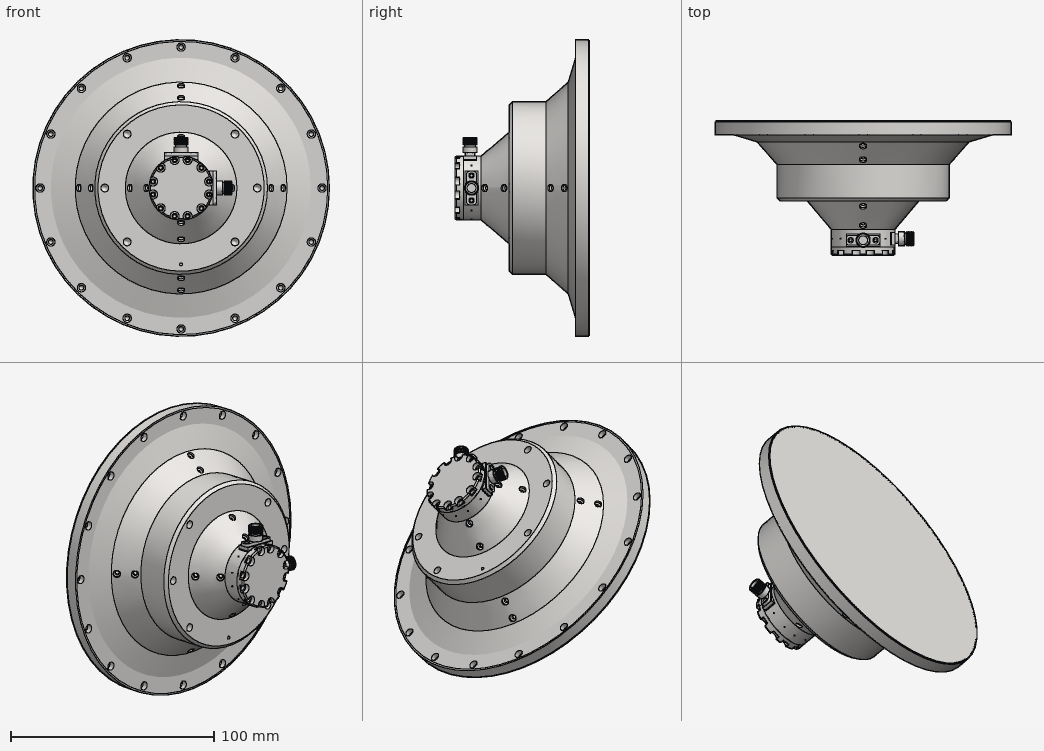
import cadquery as cq
import math


outer_radius = 73.0
rim_inner_radius = 72.1
cover_radius = 72.5
cover_thickness = 0.6
rim_depth = 7.0
shallow_cone_radius = 63.9
steep_cone_radius = 52.1
steep_cone_depth = 10.5
drum_radius = 42.5
drum_start_depth = 21.5
drum_face_depth = 39.5
drum_chamfer = 1.6
neck_cone_radius = 27.5
neck_radius = 15.8
neck_start_depth = 53.4
neck_end_depth = 62.0
total_depth = 66.2

drill_point_half_angle = math.radians(45)

flange_hole_count = 16
flange_hole_circle = 69.3
flange_hole_radius = 1.2
flange_counterbore_radius = 2.0
flange_hole_depth = 5.0
flange_counterbore_depth = 2.9

cone_hole_depths = (12.5, 19.3)
neck_cone_hole_depths = (42.2, 51.7)
cone_hole_radius = 1.0
cone_hole_length = 3.5
cone_counterbore_radius = 1.8
cone_counterbore_length = 1.2

drum_hole_angles = (-45, 0, 45, 135, 180, 225)
drum_small_hole_angle = 270
drum_hole_circle = 37.5
drum_hole_radius = 1.9
drum_small_hole_radius = 0.7
drum_hole_length = 7.3

cap_chamfer = 0.7
cap_hole_angles = [quarter + angle for quarter in (0, 90, 180, 270) for angle in (13, 45, 77)]
cap_hole_circle = 14.2
cap_hole_radius = 1.3
cap_counterbore_radius = 2.2
cap_counterbore_depth = 2.3
tapped_hole_radius = 0.9
tapped_hole_length = 4.4

pinhole_radius = 0.22
pinhole_length = 0.6
pinhole_depth = 58.0
pinhole_angles = [angle for angle in cap_hole_angles if angle == 45 or 90 < angle < 360 - 13]

adapter_length = 16.5
adapter_width = 6.3
adapter_bottom = 14.0
adapter_top = neck_radius
connector_places = ((0, 58.8), (90, 58.0))
plate_width = 4.8
plate_thickness = 1.6
plate_corner_radius = 1.5
plate_hole_spacing = 12.3
plate_hole_radius = 1.3
adapter_hole_radius = 0.7
collar_radius = 3.5
collar_length = 2.9
stem_radius = 2.8
stem_length = 0.9
thread_radius = 3.5
thread_groove = 0.5
thread_count = 5
thread_pitch = 0.76
socket_radius = 2.2
socket_length = 4.8
socket_recess = 1.6


def turned(profile):
    """Solid of revolution about Y from (radius, depth) points."""
    points = [(radius, -depth) for radius, depth in profile]
    return cq.Workplane("XY").polyline(points).close().revolve(360, (0, 0, 0), (0, 1, 0))


def rod(start, direction, radius, length):
    return cq.Workplane(obj=cq.Solid.makeCylinder(radius, length, cq.Vector(*start), cq.Vector(*direction)))


def drill(start, direction, radius, length):
    """Round hole with a conical drill point beyond its length."""
    inward = cq.Vector(*direction).normalized()
    tip_length = radius / math.tan(drill_point_half_angle)
    shaft = rod(start, direction, radius, length)
    tip_base = cq.Vector(*start) + inward * length
    return shaft.union(cq.Workplane(obj=cq.Solid.makeCone(radius, 0, tip_length, tip_base, inward)))


def polar(radius, angle, depth):
    """Point at an angle from +X toward +Z."""
    turn = math.radians(angle)
    return (radius * math.cos(turn), -depth, radius * math.sin(turn))


def holes_into_face(body, angles, circle, face_depth, radius, length):
    """Drilled holes that run toward +Y from a flat front face."""
    for angle in angles:
        body = body.cut(drill(polar(circle, angle, face_depth), (0, 1, 0), radius, length))
    return body


def cone_holes(body, depths, start, end):
    """Counterbored holes square to the cone between two (radius, depth) points."""
    (start_radius, start_depth), (end_radius, end_depth) = start, end
    fall = (start_radius - end_radius) / (end_depth - start_depth)
    lean = math.atan(fall)
    for angle in (0, 90, 180, 270):
        outward = cq.Vector(*polar(math.cos(lean), angle, math.sin(lean)))
        for depth in depths:
            surface = cq.Vector(*polar(start_radius - fall * (depth - start_depth), angle, depth))
            for radius, length in (
                (cone_hole_radius, cone_hole_length),
                (cone_counterbore_radius, cone_counterbore_length),
            ):
                entry = surface + outward * length
                body = body.cut(drill(entry.toTuple(), (-outward).toTuple(), radius, 2 * length))
    return body


def place_connector_part(body, turn, depth):
    """Move a part built along Z at Y = 0 onto the neck, turned from +Z toward +X."""
    return body.translate((0, -depth, 0)).rotate((0, 0, 0), (0, 1, 0), turn)


def block(width, bottom, top):
    return cq.Workplane("XY").workplane(offset=bottom).rect(adapter_length, width).extrude(top - bottom)


def plate_holes(bottom, radius, height):
    points = [(-plate_hole_spacing / 2, 0), (plate_hole_spacing / 2, 0)]
    return cq.Workplane("XY").workplane(offset=bottom).pushPoints(points).circle(radius).extrude(height)


def make_cover():
    return turned([(0, 0), (cover_radius, 0), (cover_radius, cover_thickness), (0, cover_thickness)])


def make_rim():
    return turned([
        (rim_inner_radius, cover_thickness),
        (outer_radius, cover_thickness),
        (outer_radius, rim_depth),
        (rim_inner_radius, rim_depth),
    ])


def make_housing():
    body = turned([
        (0, cover_thickness),
        (rim_inner_radius, cover_thickness),
        (rim_inner_radius, rim_depth),
        (shallow_cone_radius, rim_depth),
        (steep_cone_radius, steep_cone_depth),
        (drum_radius, drum_start_depth),
        (drum_radius, drum_face_depth - drum_chamfer),
        (drum_radius - drum_chamfer, drum_face_depth),
        (neck_cone_radius, drum_face_depth),
        (neck_radius, neck_start_depth),
        (neck_radius, neck_end_depth),
        (0, neck_end_depth),
    ])

    for turn, depth in connector_places:
        seat = block(adapter_width, 0, adapter_bottom)
        recess = block(adapter_width, adapter_bottom, adapter_top)
        body = body.union(place_connector_part(seat, turn, depth))
        body = body.cut(place_connector_part(recess, turn, depth))

    flange_angles = [360 / flange_hole_count * i for i in range(flange_hole_count)]
    for radius, length in (
        (flange_hole_radius, flange_hole_depth),
        (flange_counterbore_radius, flange_counterbore_depth),
    ):
        body = holes_into_face(body, flange_angles, flange_hole_circle, rim_depth, radius, length)

    steep_cone = ((steep_cone_radius, steep_cone_depth), (drum_radius, drum_start_depth))
    neck_cone = ((neck_cone_radius, drum_face_depth), (neck_radius, neck_start_depth))
    body = cone_holes(body, cone_hole_depths, *steep_cone)
    body = cone_holes(body, neck_cone_hole_depths, *neck_cone)

    body = holes_into_face(
        body, drum_hole_angles, drum_hole_circle, drum_face_depth, drum_hole_radius, drum_hole_length)
    body = holes_into_face(
        body, [drum_small_hole_angle], drum_hole_circle, drum_face_depth,
        drum_small_hole_radius, drum_hole_length)
    body = holes_into_face(
        body, cap_hole_angles, cap_hole_circle, neck_end_depth, tapped_hole_radius, tapped_hole_length)
    for angle in pinhole_angles:
        start = polar(neck_radius - pinhole_length, angle, pinhole_depth)
        body = body.cut(rod(start, polar(1, angle, 0), pinhole_radius, 2 * pinhole_length))
    return body


def make_cap():
    body = turned([
        (0, neck_end_depth),
        (neck_radius, neck_end_depth),
        (neck_radius, total_depth - cap_chamfer),
        (neck_radius - cap_chamfer, total_depth),
        (0, total_depth),
    ])
    cap_thickness = total_depth - neck_end_depth
    for radius, length in (
        (cap_hole_radius, cap_thickness),
        (cap_counterbore_radius, cap_counterbore_depth),
    ):
        for angle in cap_hole_angles:
            body = body.cut(rod(polar(cap_hole_circle, angle, total_depth), (0, 1, 0), radius, length))

    for angle in cap_hole_angles:
        start = polar(cap_hole_circle + cap_counterbore_radius, angle, total_depth)
        body = body.cut(rod(start, (0, 1, 0), cap_counterbore_radius, cap_counterbore_depth))
    return body


def make_adapter():
    holes = plate_holes(adapter_bottom, adapter_hole_radius, adapter_top - adapter_bottom)
    return block(adapter_width, adapter_bottom, adapter_top).cut(holes)


collar_bottom = adapter_top + plate_thickness
stem_bottom = collar_bottom + collar_length
thread_bottom = stem_bottom + stem_length
connector_end = thread_bottom + thread_count * thread_pitch
socket_bottom = connector_end - socket_length


def make_connector():
    plate = block(plate_width, adapter_top, collar_bottom).edges("|Z").fillet(plate_corner_radius)
    plate = plate.cut(plate_holes(adapter_top, plate_hole_radius, plate_thickness))

    root_radius = thread_radius - thread_groove
    profile = [
        (0, collar_bottom),
        (collar_radius, collar_bottom),
        (collar_radius, stem_bottom),
        (stem_radius, stem_bottom),
        (stem_radius, thread_bottom),
        (root_radius, thread_bottom),
    ]
    for i in range(thread_count):
        root = thread_bottom + i * thread_pitch
        profile += [(thread_radius, root + thread_pitch / 2), (root_radius, root + thread_pitch)]
    profile.append((0, connector_end))
    barrel = cq.Workplane("XZ").polyline(profile).close().revolve(360, (0, 0, 0), (0, 1, 0))
    socket = rod((0, 0, socket_bottom), (0, 0, 1), socket_radius, socket_length)
    return plate.union(barrel).cut(socket)


def make_insert():
    """Plug at the bottom of the connector socket."""
    return rod((0, 0, socket_bottom), (0, 0, 1), socket_radius, socket_length - socket_recess)


cover = make_cover()
rim = make_rim()
housing = make_housing()
cap = make_cap()
bodies = [part.solids().val() for part in (cover, rim, housing, cap)]
for turn, depth in connector_places:
    for make_part in (make_adapter, make_connector, make_insert):
        bodies.append(place_connector_part(make_part(), turn, depth).solids().val())

result = cq.Compound.makeCompound(bodies)